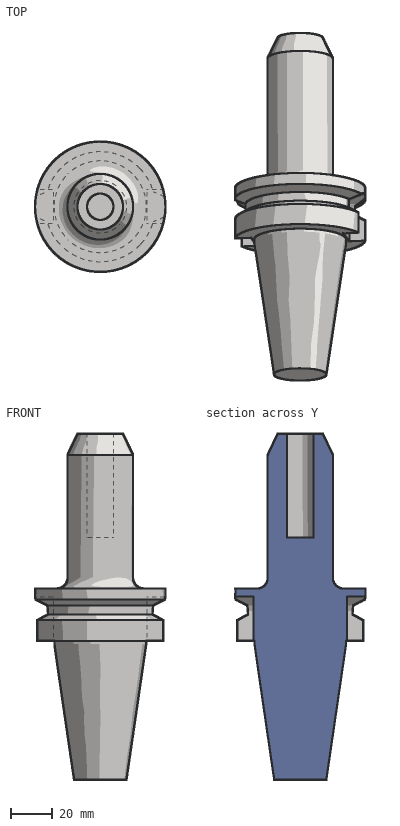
import cadquery as cq
import math

GAUGE_DIAMETER = 44.45
TAPER_LENGTH = 65.4
TAPER_RATIO = 7 / 24

NECK_LENGTH = 1.6
FLANGE_DIAMETER = 63.0
FLANGE_THICKNESS = 25.4
LOWER_RIM_HEIGHT = 10.0

GROOVE_CORE_DIAMETER = 53.2
GROOVE_FLOOR_WIDTH = 4.3
GROOVE_WALL_ANGLE = 30.0

SLOT_WIDTH = 16.4
SLOT_HEIGHT = 21.3
SLOT_FLOOR_OFFSET = 22.6

NOSE_DIAMETER = 31.75
NOSE_PROJECTION = 101.6
NOSE_TIP_DIAMETER = 22.0
NOSE_CONE_LENGTH = 10.2
ROOT_FILLET = 5.0
BORE_DIAMETER = 12.7
BORE_DEPTH = 50.0

taper_end_diameter = GAUGE_DIAMETER - TAPER_LENGTH * TAPER_RATIO
flange_bottom = NECK_LENGTH
flange_top = flange_bottom + FLANGE_THICKNESS
nose_top = NOSE_PROJECTION


def make_body():
    """Revolve the half profile of shank, flange and nose about Z."""
    flange_radius = FLANGE_DIAMETER / 2
    core_radius = GROOVE_CORE_DIAMETER / 2
    nose_radius = NOSE_DIAMETER / 2
    gauge_radius = GAUGE_DIAMETER / 2

    wall_height = (flange_radius - core_radius) * math.tan(math.radians(GROOVE_WALL_ANGLE))
    groove_start = flange_bottom + LOWER_RIM_HEIGHT
    floor_start = groove_start + wall_height
    floor_end = floor_start + GROOVE_FLOOR_WIDTH
    groove_end = floor_end + wall_height

    profile = (
        cq.Workplane("XZ")
        .moveTo(0, -TAPER_LENGTH)
        .lineTo(taper_end_diameter / 2, -TAPER_LENGTH)
        .lineTo(gauge_radius, 0)
        .lineTo(gauge_radius, flange_bottom)
        .lineTo(flange_radius, flange_bottom)
        .lineTo(flange_radius, groove_start)
        .lineTo(core_radius, floor_start)
        .lineTo(core_radius, floor_end)
        .lineTo(flange_radius, groove_end)
        .lineTo(flange_radius, flange_top)
        .lineTo(nose_radius + ROOT_FILLET, flange_top)
        .radiusArc((nose_radius, flange_top + ROOT_FILLET), ROOT_FILLET)
        .lineTo(nose_radius, nose_top - NOSE_CONE_LENGTH)
        .lineTo(NOSE_TIP_DIAMETER / 2, nose_top)
        .lineTo(0, nose_top)
        .close()
    )
    return profile.revolve(360, (0, 0, 0), (0, 1, 0))


def make_drive_slot(side):
    """Round-topped cutter for the slot on the +X (side = 1) or -X (side = -1) face."""
    half_width = SLOT_WIDTH / 2
    arch_start = flange_bottom + SLOT_HEIGHT - half_width
    outline = (
        cq.Workplane("YZ", origin=(side * SLOT_FLOOR_OFFSET, 0, 0))
        .moveTo(-half_width, flange_bottom)
        .lineTo(-half_width, arch_start)
        .threePointArc((0, flange_bottom + SLOT_HEIGHT), (half_width, arch_start))
        .lineTo(half_width, flange_bottom)
        .close()
    )
    return outline.extrude(side * FLANGE_DIAMETER / 2)


def make_bore():
    """Blind tool bore from the tip of the nose."""
    return cq.Workplane("XY", origin=(0, 0, nose_top)).circle(BORE_DIAMETER / 2).extrude(-BORE_DEPTH)


result = make_body().cut(make_bore())
for slot_side in (-1, 1):
    result = result.cut(make_drive_slot(slot_side))